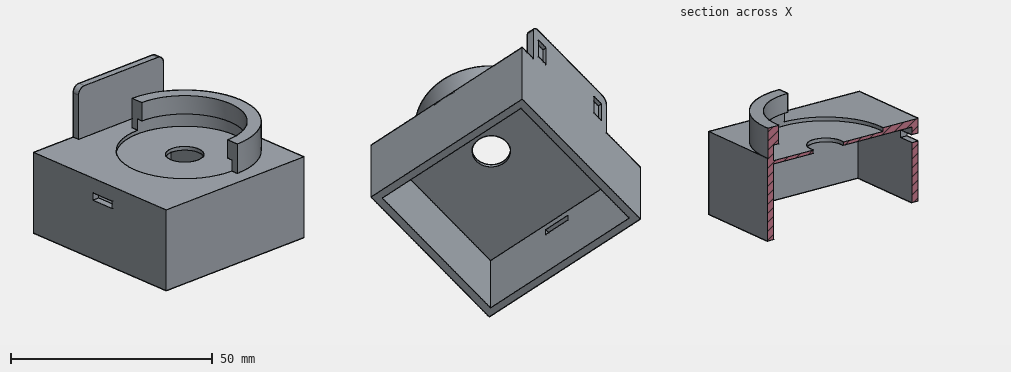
import cadquery as cq

LENGTH = 48.0
WIDTH = 47.0
HEIGHT = 22.0
WALL = 2.0

SEAT_DIAMETER = 34.0
SEAT_DEPTH = 1.0
CENTER_HOLE_DIAMETER = 9.5
COLLAR_OUTER_DIAMETER = 38.0
COLLAR_LIP_DIAMETER = 31.0
COLLAR_HEIGHT = 8.0
COLLAR_GROOVE_HEIGHT = 3.0
SEAT_X = 25.0
SEAT_Y = WIDTH - COLLAR_OUTER_DIAMETER / 2

TAB_WIDTH = 29.0
TAB_HEIGHT = 14.0
TAB_THICKNESS = 2.0
TAB_CORNER_RADIUS = 2.0
POCKET_WIDTH = 3.0
POCKET_HEIGHT = 7.0
POCKET_DEPTH = 1.0
POCKET_SIDE_MARGIN = 2.0
POCKET_RISE = 3.0

SLOT_WIDTH = 7.0
SLOT_HEIGHT = 2.0
SLOT_DROP = 4.0
SLOT_BASE = HEIGHT - SLOT_DROP - SLOT_HEIGHT


def box(x_size, y_size, z_size, corner):
    """Box measured in the positive directions from its lowest corner."""
    return cq.Workplane("XY").box(x_size, y_size, z_size, centered=False).translate(corner)


def seat_cylinder(diameter, height, base):
    """Upright cylinder on the axis of the seat."""
    return cq.Workplane("XY").circle(diameter / 2).extrude(height).translate((SEAT_X, SEAT_Y, base))


def make_housing():
    outside = box(LENGTH, WIDTH, HEIGHT, (0, 0, 0))
    cavity = box(LENGTH - 2 * WALL, WIDTH - 2 * WALL, HEIGHT - WALL, (WALL, WALL, 0))
    slot = box(SLOT_WIDTH, WALL, SLOT_HEIGHT, (SEAT_X - SLOT_WIDTH / 2, 0, SLOT_BASE))
    return outside.cut(cavity).cut(slot)


def make_collar():
    """Half ring on the +Y side of the seat, undercut below an inward lip."""
    radius = COLLAR_OUTER_DIAMETER / 2
    ring = seat_cylinder(COLLAR_OUTER_DIAMETER, COLLAR_HEIGHT, HEIGHT)
    ring = ring.cut(seat_cylinder(COLLAR_LIP_DIAMETER, COLLAR_HEIGHT, HEIGHT))
    ring = ring.cut(seat_cylinder(SEAT_DIAMETER, COLLAR_GROOVE_HEIGHT, HEIGHT))
    rear_half = box(COLLAR_OUTER_DIAMETER, radius, COLLAR_HEIGHT, (SEAT_X - radius, SEAT_Y, HEIGHT))
    return ring.intersect(rear_half)


def make_tab():
    """Tab with rounded top corners, centered on the seat along Y."""
    first_side = SEAT_Y - TAB_WIDTH / 2
    tab = box(TAB_THICKNESS, TAB_WIDTH, TAB_HEIGHT, (0, first_side, HEIGHT))
    tab = tab.edges("|X and >Z").fillet(TAB_CORNER_RADIUS)
    pocket_base = HEIGHT + POCKET_RISE
    first_pocket = first_side + POCKET_SIDE_MARGIN
    last_pocket = first_side + TAB_WIDTH - POCKET_SIDE_MARGIN - POCKET_WIDTH
    for pocket_y in (first_pocket, last_pocket):
        tab = tab.cut(box(POCKET_DEPTH, POCKET_WIDTH, POCKET_HEIGHT, (0, pocket_y, pocket_base)))
    return tab


def make_part():
    part = make_housing().union(make_collar()).union(make_tab())
    part = part.cut(seat_cylinder(SEAT_DIAMETER, SEAT_DEPTH, HEIGHT - SEAT_DEPTH))
    return part.cut(seat_cylinder(CENTER_HOLE_DIAMETER, WALL, HEIGHT - WALL))


result = make_part()